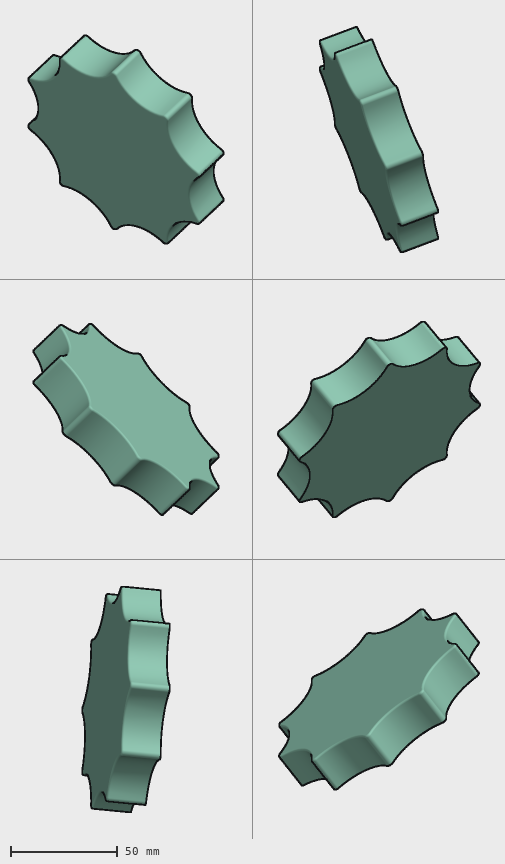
import cadquery as cq
import math

lobe_count = 10
thickness = 19.0
tip_reach = 53.455
valley_reach = 45.0
tip_radius = 2.0
front_edge_radius = 1.0

lobe_pitch = 2 * math.pi / lobe_count
half_pitch = lobe_pitch / 2
tip_centre_reach = tip_reach - tip_radius

scallop_radius = (
    valley_reach**2
    - 2 * valley_reach * tip_centre_reach * math.cos(half_pitch)
    + tip_centre_reach**2
    - tip_radius**2
) / (2 * (tip_radius + tip_centre_reach * math.cos(half_pitch) - valley_reach))
scallop_centre_reach = valley_reach + scallop_radius


def polar(reach, angle):
    """Point in the XZ plane at a distance from the axis and an angle in radians."""
    return (reach * math.cos(angle), reach * math.sin(angle))


def tangent_point(tip_angle, side):
    """Where a tip rounding meets the scallop on its side (-1 before, +1 after)."""
    tip_x, tip_z = polar(tip_centre_reach, tip_angle)
    scallop_x, scallop_z = polar(scallop_centre_reach, tip_angle + side * half_pitch)
    share = tip_radius / (tip_radius + scallop_radius)
    return (tip_x + share * (scallop_x - tip_x), tip_z + share * (scallop_z - tip_z))


def knob_outline():
    """Closed star outline of alternating rounded tips and concave scallops."""
    first_tip_angle = math.pi / 2
    outline = cq.Workplane("XZ").moveTo(*tangent_point(first_tip_angle, -1))
    for lobe in range(lobe_count):
        tip_angle = first_tip_angle + lobe * lobe_pitch
        next_tip_angle = tip_angle + lobe_pitch
        outline = outline.threePointArc(polar(tip_reach, tip_angle), tangent_point(tip_angle, 1))
        outline = outline.threePointArc(
            polar(valley_reach, tip_angle + half_pitch), tangent_point(next_tip_angle, -1)
        )
    return outline.close()


def knob_body():
    """Star plate from the front face at Y = -thickness to the flat back at Y = 0."""
    return knob_outline().extrude(thickness)


def round_front_edge(body):
    """Round the whole outline where the sides meet the front face."""
    return body.faces("<Y").edges().fillet(front_edge_radius)


result = round_front_edge(knob_body())